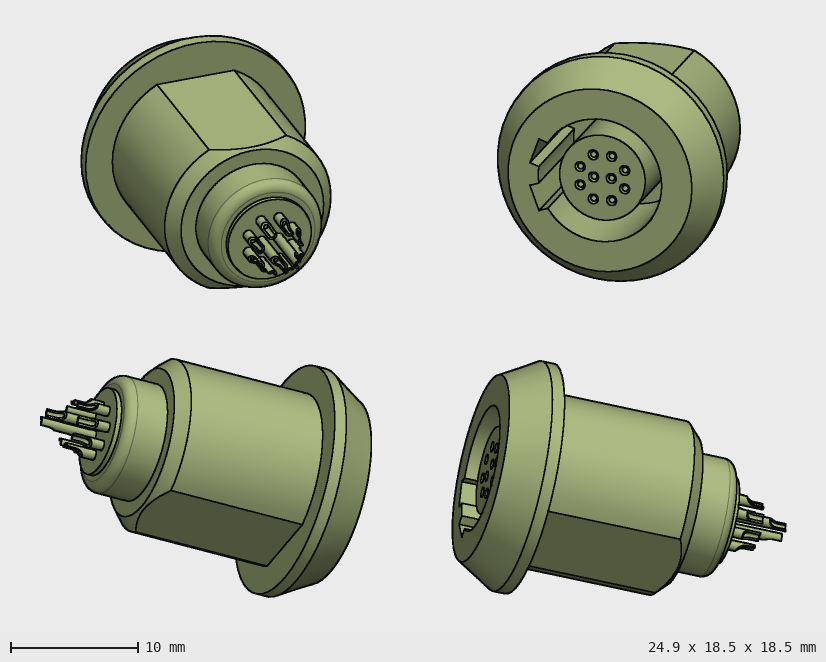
import cadquery as cq
import math


flange_radius = 9.25
bezel_length = 3.0
bezel_angle = 30.0
front_face_radius = flange_radius - bezel_length * math.tan(math.radians(bezel_angle))
flange_back = 4.0

body_radius = 7.0
body_end = 16.4
body_chamfer = 1.0
flat_distance = 12.4

collar_radius = 4.75
collar_end = 19.8
collar_fillet = 0.8

bore_radius = 5.05
bore_depth = 10.0
keyway_width = 2.15
keyway_reach = 5.7
keyway_angle = 20.0
insulator_radius = 3.5
insulator_front = 0.7
insulator_end = 20.2

outer_contact_count = 8
outer_circle_radius = 1.97
inner_circle_radius = 0.72
contact_radius = 0.4
contact_root = collar_end - collar_fillet
outer_contact_end = 22.7
inner_contact_end = 24.9

socket_radius = 0.24
socket_depth = 3.0
countersink_radius = 0.4
countersink_depth = 0.16

cup_bore_radius = 0.22
cup_bore_depth = 1.5
cup_floor_offset = -0.1
cup_flat_length = 0.67
cup_run_out = 0.8


def axial_cylinder(radius, start, end):
    """Cylinder along X between two stations."""
    return cq.Workplane("YZ", origin=(start, 0, 0)).circle(radius).extrude(end - start)


def make_flange():
    """Revolved flange with a conical bezel."""
    profile = (
        cq.Workplane("XY")
        .moveTo(0, 0)
        .lineTo(0, -front_face_radius)
        .lineTo(bezel_length, -flange_radius)
        .lineTo(flange_back, -flange_radius)
        .lineTo(flange_back, 0)
        .close()
    )
    return profile.revolve(360, (0, 0, 0), (1, 0, 0))


def make_body():
    """Chamfered barrel with flats on its top and bottom."""
    barrel = axial_cylinder(body_radius, 0, body_end).faces(">X").chamfer(body_chamfer)
    flats = cq.Workplane("XY").box(body_end, 2 * body_radius, flat_distance, centered=(False, True, True))
    return barrel.intersect(flats)


def make_collar():
    """Rear collar with a rounded end."""
    return axial_cylinder(collar_radius, 0, collar_end).faces(">X").edges().fillet(collar_fillet)


def make_mating_bore():
    """Bore and the two keyways on its +Y side."""
    bore = axial_cylinder(bore_radius, 0, bore_depth)
    for angle in (-keyway_angle, keyway_angle):
        keyway = (
            cq.Workplane("XY")
            .box(bore_depth, keyway_reach, keyway_width, centered=(False, False, True))
            .rotate((0, 0, 0), (1, 0, 0), angle)
        )
        bore = bore.union(keyway)
    return bore


def make_socket():
    """Countersunk socket on the X axis, opening at the insulator face."""
    socket_end = insulator_front + socket_depth
    profile = (
        cq.Workplane("XY")
        .moveTo(insulator_front, 0)
        .lineTo(insulator_front, countersink_radius)
        .lineTo(insulator_front + countersink_depth, socket_radius)
        .lineTo(socket_end, socket_radius)
        .lineTo(socket_end, 0)
        .close()
    )
    return profile.revolve(360, (0, 0, 0), (1, 0, 0))


def make_contact(end):
    """Contact pin on the X axis with a solder cup opening toward +Y."""
    pin = axial_cylinder(contact_radius, contact_root, end)
    cup_bore = axial_cylinder(cup_bore_radius, end - cup_bore_depth, end)

    flat_start = end - cup_flat_length
    rise = contact_radius - cup_floor_offset
    arc_radius = (cup_run_out**2 + rise**2) / (2 * rise)
    half_sweep = math.asin(cup_run_out / arc_radius) / 2
    arc_middle = (
        flat_start - arc_radius * math.sin(half_sweep),
        cup_floor_offset + arc_radius * (1 - math.cos(half_sweep)),
    )
    opening = (
        cq.Workplane("XY")
        .moveTo(end, cup_floor_offset)
        .lineTo(flat_start, cup_floor_offset)
        .threePointArc(arc_middle, (flat_start - cup_run_out, contact_radius))
        .lineTo(end, contact_radius)
        .close()
        .extrude(contact_radius, both=True)
    )
    return pin.cut(cup_bore).cut(opening)


def contact_layout():
    """List of (circle radius, angle, pin end) for every contact."""
    pitch = 360 / outer_contact_count
    layout = [
        (outer_circle_radius, (index + 0.5) * pitch, outer_contact_end)
        for index in range(outer_contact_count)
    ]
    for angle in (0, 180):
        layout.append((inner_circle_radius, angle, inner_contact_end))
    return layout


def place(shape, circle_radius, angle):
    """Move a shape from the axis to a contact position, its +Y side facing outward."""
    return shape.translate((0, circle_radius, 0)).rotate((0, 0, 0), (1, 0, 0), angle)


result = make_flange().union(make_body()).union(make_collar())
result = result.cut(make_mating_bore())
result = result.union(axial_cylinder(insulator_radius, insulator_front, insulator_end))

for circle_radius, angle, end in contact_layout():
    result = result.cut(place(make_socket(), circle_radius, angle))
    result = result.union(place(make_contact(end), circle_radius, angle))